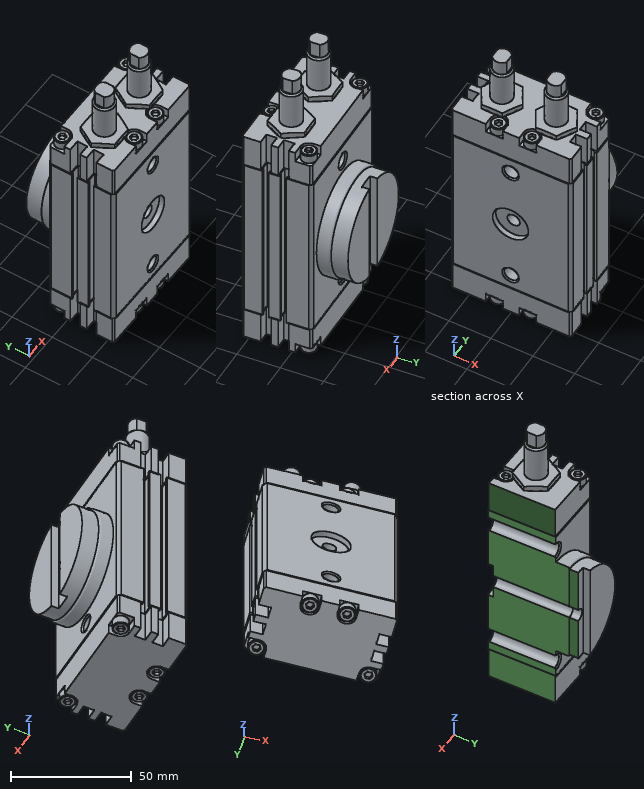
import cadquery as cq
import math


housing_width = 58.0
housing_length = 78.0
front_y = -15.5
back_y = 17.4
housing_chamfer = 1.6
boss_diameter = 50.0
boss_height = 6.3
boss_fillet = 1.0

slot_centre_y = 4.0
slot_mouth_width = 2.8
slot_cavity_width = 4.2
slot_depth = 5.8
slot_lip = 1.2

bore_diameter = 6.0
recess_diameter = 17.0
recess_depth = 2.5
mount_hole_diameter = 6.8
mount_hole_chamfer = 0.7
mount_hole_z = 31.0

table_diameter = 48.0
table_height = 7.7
key_slot_width = 7.7
key_slot_depth = 3.4

cover_length = 15.0
cover_inset = 0.4
cover_chamfer = 0.8
cover_slot_width = 4.9

pocket_diameter = 8.1
pocket_depth = 4.6
head_diameter = 7.0
head_chamfer = 0.4
head_recess = 0.4
socket_across_flats = 3.1
socket_depth = 1.6
front_screw_x = 8.0
front_screw_y = -11.5
corner_screw_x = 24.0
corner_screw_y = 13.5

adjuster_x = 13.0
adjuster_height = 27.0
nut_across_flats = 17.1
nut_height = 2.8
nut_face_diameter = 17.0
nut_chamfer_height = 0.3
bolt_diameter = 10.0
bolt_top = 20.0
bolt_chamfer = 0.8
tip_diameter = 8.2
tip_across_flats = 7.0

depth = back_y - front_y
middle_y = (front_y + back_y) / 2
half_length = housing_length / 2
boss_top_y = back_y + boss_height
cover_width = housing_width - 2 * cover_inset
cover_depth = depth - 2 * cover_inset
cover_slot_depth = slot_depth - cover_inset
end_z = half_length + cover_length
head_height = pocket_depth - head_recess
sides = (-1, 1)


def chamfered_bar(width, bar_depth, bottom_z, length, chamfer):
    """Bar along Z with its four long edges chamfered."""
    bar = cq.Workplane("XY", origin=(0, middle_y, bottom_z)).rect(width, bar_depth).extrude(length)
    return bar.edges("|Z").chamfer(chamfer)


def side_grooves(outer_width, groove_depth, groove_width, bottom_z, length):
    """Cutters for the two straight grooves along each X side of a bar."""
    centre_x = (outer_width - groove_depth) / 2
    centres = [(sx * centre_x, sy * slot_centre_y) for sx in sides for sy in sides]
    plane = cq.Workplane("XY", origin=(0, 0, bottom_z))
    return plane.pushPoints(centres).rect(groove_depth, groove_width).extrude(length)


def disc_along_y(diameter, start_y, length):
    """Disc on the Y axis that grows toward +Y."""
    return cq.Workplane("XZ", origin=(0, start_y, 0)).circle(diameter / 2).extrude(-length)


def cut_side_slots(housing):
    """Cut the undercut slots: a wide cavity behind a narrow mouth."""
    mouth = side_grooves(housing_width, slot_depth, slot_mouth_width, -half_length, housing_length)
    cavity_outer_width = housing_width - 2 * slot_lip
    cavity_depth = slot_depth - slot_lip
    cavity = side_grooves(cavity_outer_width, cavity_depth, slot_cavity_width, -half_length, housing_length)
    return housing.cut(mouth).cut(cavity)


def cut_mounting_holes(housing):
    """Cut the two mounting holes through the housing, chamfered at both faces."""
    radius = mount_hole_diameter / 2
    mouth_radius = radius + mount_hole_chamfer
    profile = [
        (0, front_y),
        (mouth_radius, front_y),
        (radius, front_y + mount_hole_chamfer),
        (radius, back_y - mount_hole_chamfer),
        (mouth_radius, back_y),
        (0, back_y),
    ]
    hole = cq.Workplane("XY").polyline(profile).close().revolve(360, (0, 0), (0, 1))
    for side in sides:
        housing = housing.cut(hole.translate((0, 0, side * mount_hole_z)))
    return housing


def make_housing():
    """Slotted housing with the round boss that carries the turntable."""
    housing = chamfered_bar(housing_width, depth, -half_length, housing_length, housing_chamfer)
    housing = cut_side_slots(housing)
    housing = cut_mounting_holes(housing)
    boss = disc_along_y(boss_diameter, back_y, boss_height).faces(">Y").edges().fillet(boss_fillet)
    housing = housing.union(boss)
    housing = housing.cut(disc_along_y(recess_diameter, front_y, recess_depth))
    return housing.cut(disc_along_y(bore_diameter, front_y, depth + boss_height))


def make_table():
    """Turntable disc with a central bore and a key slot across its outer face."""
    table = disc_along_y(table_diameter, boss_top_y, table_height)
    table = table.cut(disc_along_y(bore_diameter, boss_top_y, table_height))
    slot_y = boss_top_y + table_height - key_slot_depth / 2
    key_slot = cq.Workplane("XY").box(key_slot_width, key_slot_depth, table_diameter)
    return table.cut(key_slot.translate((0, slot_y, 0)))


def pocket_block(near, far):
    """Box between two opposite XY corners, as deep as a screw pocket."""
    width = abs(far[0] - near[0])
    block_depth = abs(far[1] - near[1])
    centre = ((near[0] + far[0]) / 2, (near[1] + far[1]) / 2, end_z - pocket_depth)
    return cq.Workplane("XY", origin=centre).rect(width, block_depth).extrude(pocket_depth)


def screw_pocket(x, y):
    """Round pocket around a screw head."""
    floor = cq.Workplane("XY", origin=(x, y, end_z - pocket_depth))
    return floor.circle(pocket_diameter / 2).extrude(pocket_depth)


def front_pocket(x):
    """Pocket of a front screw, open toward the front face."""
    radius = pocket_diameter / 2
    opening = pocket_block((x - radius, front_screw_y), (x + radius, front_y))
    return screw_pocket(x, front_screw_y).union(opening)


def corner_pocket(side):
    """Pocket of a corner screw, open toward the back face and one X side."""
    radius = pocket_diameter / 2
    x = side * corner_screw_x
    outer_x = side * housing_width / 2
    back_opening = pocket_block((x - side * radius, corner_screw_y), (outer_x, back_y))
    side_opening = pocket_block((x, corner_screw_y - radius), (outer_x, back_y))
    return screw_pocket(x, corner_screw_y).union(back_opening).union(side_opening)


def screw_head(x, y):
    """Socket screw head standing on its pocket floor, just below the cover end."""
    floor = cq.Workplane("XY", origin=(x, y, end_z - pocket_depth))
    head = floor.circle(head_diameter / 2).extrude(head_height).faces(">Z").chamfer(head_chamfer)
    top = cq.Workplane("XY", origin=(x, y, end_z - head_recess))
    socket = top.polygon(6, socket_across_flats / math.cos(math.pi / 6)).extrude(-socket_depth)
    return head.cut(socket)


def make_cover():
    """Plain end cover on the upper end, with its side slots, screw pockets, and screw heads."""
    cover = chamfered_bar(cover_width, cover_depth, half_length, cover_length, cover_chamfer)
    cover = cover.cut(side_grooves(cover_width, cover_slot_depth, cover_slot_width, half_length, cover_length))
    for side in sides:
        cover = cover.cut(front_pocket(side * front_screw_x))
        cover = cover.cut(corner_pocket(side))
    for side in sides:
        cover = cover.union(screw_head(side * front_screw_x, front_screw_y))
        cover = cover.union(screw_head(side * corner_screw_x, corner_screw_y))
    return cover


def make_nut():
    """Hexagonal lock nut on Z = 0, the corners of both faces bevelled to a circle."""
    corner_diameter = nut_across_flats / math.cos(math.pi / 6)
    nut = cq.Workplane("XY").polygon(6, corner_diameter).extrude(nut_height)
    face_radius = nut_face_diameter / 2
    envelope_profile = [
        (0, 0),
        (face_radius, 0),
        (corner_diameter / 2, nut_chamfer_height),
        (corner_diameter / 2, nut_height - nut_chamfer_height),
        (face_radius, nut_height),
        (0, nut_height),
    ]
    envelope = cq.Workplane("XZ").polyline(envelope_profile).close().revolve(360, (0, 0), (0, 1))
    return nut.intersect(envelope)


def make_adjuster():
    """Adjuster on Z = 0: lock nut, bolt, and a tip with two wrench flats."""
    bolt = cq.Workplane("XY").circle(bolt_diameter / 2).extrude(bolt_top).faces(">Z").chamfer(bolt_chamfer)
    tip = cq.Workplane("XY").circle(tip_diameter / 2).extrude(adjuster_height)
    flats = cq.Workplane("XY").rect(tip_across_flats, tip_diameter).extrude(adjuster_height)
    return make_nut().union(bolt).union(tip.intersect(flats))


def make_upper_cover(cover):
    """End cover with the two adjusters."""
    adjuster = make_adjuster()
    for side in sides:
        cover = cover.union(adjuster.translate((side * adjuster_x, 0, end_z)))
    return cover


housing = make_housing()
table = make_table()
plain_cover = make_cover()
upper_cover = make_upper_cover(plain_cover)
lower_cover = plain_cover.mirror("XY")

result = cq.Compound.makeCompound([housing.val(), table.val(), upper_cover.val(), lower_cover.val()])